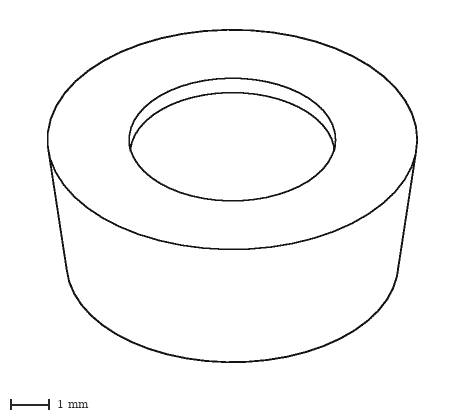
import cadquery as cq
import math

top_radius = 4.765
height = 3.97
clearance_angle = 7.0
bottom_radius = top_radius - height * math.tan(math.radians(clearance_angle))

bore_radius = 4.0 / 2
mouth_radius = 5.32 / 2
seat_radius = 5.26 / 2
mouth_depth = 0.44
bore_depth = 2.45

mouth_bottom = height - mouth_depth
bore_top = height - bore_depth

seat_width = seat_radius - bore_radius
seat_height = mouth_bottom - bore_top
arc_radius = (seat_width**2 + seat_height**2) / (2 * seat_width)
half_sweep = math.asin(seat_height / arc_radius) / 2
seat_middle = (
    bore_radius + arc_radius * (1 - math.cos(half_sweep)),
    bore_top + arc_radius * math.sin(half_sweep),
)

section = (
    cq.Workplane("XZ")
    .moveTo(bore_radius, 0)
    .lineTo(bottom_radius, 0)
    .lineTo(top_radius, height)
    .lineTo(mouth_radius, height)
    .lineTo(seat_radius, mouth_bottom)
    .threePointArc(seat_middle, (bore_radius, bore_top))
    .close()
)
result = section.revolve(360, (0, 0, 0), (0, 1, 0))